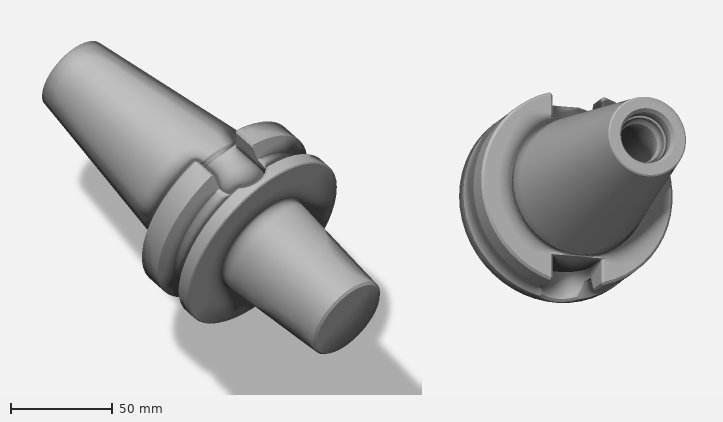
import cadquery as cq
import math

total_length = 201.8
taper_end = 101.1
flange_start = 104.7
flange_end = 139.6

taper_large_radius = 35.0
taper_slope = 7 / 48
taper_small_radius = taper_large_radius - taper_end * taper_slope
taper_end_chamfer = 0.6

neck_radius = 34.3
neck_step = 1.0
neck_fillet = 1.2

flange_radius = 49.95
groove_radius = 42.4
groove_start = 117.5
groove_floor_length = 6.5
groove_angle = 60
groove_wall_length = (flange_radius - groove_radius) / math.tan(math.radians(groove_angle))
groove_end = groove_start + 2 * groove_wall_length + groove_floor_length
front_chamfer = 1.2
rear_chamfer = 0.6

nose_base_radius = 27.2
nose_tip_radius = 22.5
nose_base_fillet = 1.0
nose_tip_chamfer = 1.2

slot_width = 25.6
slot_floor = 35.0
slot_end = 135.8
slot_chamfer = 1.2

mouth_radius = 14.3
counterbore_radius = 13.0
mouth_depth = 2.5
counterbore_depth = 8.9
thread_radius = 12.0
thread_depth = 12.0
drill_start = 14.7
drill_radius = 10.0
drill_depth = 64.5
drill_point_angle = 118


def make_body():
    """Revolve the outer profile: taper, neck, flange and nose."""
    neck_start = taper_end + neck_step
    fillet_start = flange_start - neck_fillet
    arc_offset = neck_fillet * math.sin(math.radians(45))
    fillet_radius_top = neck_radius + neck_fillet
    return (
        cq.Workplane("XY")
        .lineTo(0, taper_small_radius - taper_end_chamfer)
        .lineTo(taper_end_chamfer, taper_small_radius + taper_end_chamfer * taper_slope)
        .lineTo(taper_end, taper_large_radius)
        .lineTo(neck_start, neck_radius)
        .lineTo(fillet_start, neck_radius)
        .threePointArc(
            (fillet_start + arc_offset, fillet_radius_top - arc_offset),
            (flange_start, fillet_radius_top),
        )
        .lineTo(flange_start, flange_radius - front_chamfer)
        .lineTo(flange_start + front_chamfer, flange_radius)
        .lineTo(groove_start, flange_radius)
        .lineTo(groove_start + groove_wall_length, groove_radius)
        .lineTo(groove_end - groove_wall_length, groove_radius)
        .lineTo(groove_end, flange_radius)
        .lineTo(flange_end - rear_chamfer, flange_radius)
        .lineTo(flange_end, flange_radius - rear_chamfer)
        .lineTo(flange_end, nose_base_radius + nose_base_fillet)
        .radiusArc((flange_end + nose_base_fillet, nose_base_radius), -nose_base_fillet)
        .lineTo(total_length - nose_tip_chamfer, nose_tip_radius)
        .lineTo(total_length, nose_tip_radius - nose_tip_chamfer)
        .lineTo(total_length, 0)
        .close()
        .revolve(360, (0, 0, 0), (1, 0, 0))
    )


def make_bore():
    """Revolve the stepped pull-stud bore with its conical drill point."""
    point_length = drill_radius / math.tan(math.radians(drill_point_angle / 2))
    return (
        cq.Workplane("XY")
        .lineTo(0, mouth_radius)
        .lineTo(mouth_depth, counterbore_radius)
        .lineTo(counterbore_depth, counterbore_radius)
        .lineTo(counterbore_depth, thread_radius)
        .lineTo(thread_depth, thread_radius)
        .lineTo(drill_start, drill_radius)
        .lineTo(drill_depth, drill_radius)
        .lineTo(drill_depth + point_length, 0)
        .close()
        .revolve(360, (0, 0, 0), (1, 0, 0))
    )


def make_slot():
    """Upper drive slot: open toward the taper, round at its far end."""
    half_width = slot_width / 2
    arc_center = slot_end - half_width
    return (
        cq.Workplane("XY", origin=(0, 0, slot_floor))
        .moveTo(taper_end, -half_width)
        .lineTo(arc_center, -half_width)
        .threePointArc((slot_end, 0), (arc_center, half_width))
        .lineTo(taper_end, half_width)
        .close()
        .extrude(flange_radius)
    )


def on_slot_rim(edge):
    """True for slot edges on the flange's outer cylinders and front face."""
    box = edge.BoundingBox()
    half_width = slot_width / 2
    margin = 0.02
    rim_height = math.sqrt(flange_radius**2 - half_width**2) - margin
    inside_slot = max(abs(box.ymin), abs(box.ymax)) < half_width + margin
    lowest = min(abs(box.zmin), abs(box.zmax))
    on_cylinder = lowest > rim_height and box.xmin > flange_start + margin
    on_cylinder = on_cylinder and box.xmax < slot_end + margin
    on_front = box.xmax < flange_start + front_chamfer + margin and box.xmin > flange_start - margin
    on_front = on_front and box.ymax - box.ymin < margin and lowest > slot_floor - margin
    return inside_slot and (on_cylinder or on_front)


slot = make_slot()
slotted = make_body().cut(slot).cut(slot.mirror("XY"))
rim_edges = [edge for edge in slotted.edges().vals() if on_slot_rim(edge)]
result = slotted.newObject(rim_edges).chamfer(slot_chamfer)
result = result.cut(make_bore())